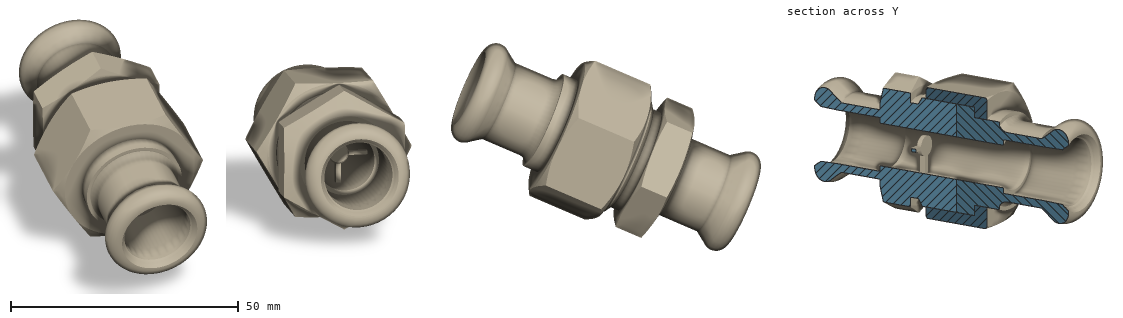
import cadquery as cq
import math


length = 66.0
tube_d = 18.2
bore_d = 13.0
socket_depth = 16.9

bead_d = 23.3
bead_round = 2.65
bead_seam = 4.4
bead_end = 7.05

mouth_d = 17.35
mouth_profile = [(0.7, 16.4), (1.25, 15.8), (1.65, 15.2)]
socket_d = 15.0
socket_taper_end = 6.1

hex_half_angle = math.radians(30)
envelope_margin = 0.65

collar_start = 16.9
collar_end = 25.0
collar_flats = 27.0
collar_face_d = 20.45
collar_chamfer_angle = 15.0

neck_d = 23.4
flange_d = 26.45
flange_cone_start = 26.9
flange_cone_end = 27.9

nut_start = 28.85
nut_end = 44.9
nut_flats = 30.0
nut_chamfer_angle = 30.0
nut_lip = 3.3
nut_seat = nut_end - nut_lip
joint = 36.95

shoulder_d = 22.0
shoulder_end = 48.1
shoulder_round_end = 50.0
shoulder_round_d = 20.2

disc_d = 4.6
disc_chamfer = 0.3
disc_thickness = 1.3
disc_start = 25.1
side_spoke_width = 0.8
lower_spoke_width = 1.2
spoke_embed = 0.3


def revolve(profile):
    """Turn a closed (x, radius) profile around the X axis."""
    return profile.close().revolve(360, (0, 0, 0), (1, 0, 0))


def cylinder(start, end, diameter):
    return cq.Workplane("YZ", origin=(start, 0, 0)).circle(diameter / 2).extrude(end - start)


def hexagon(start, end, flats, corners_on_z):
    """Hexagonal prism along X with its corners on the Z or the Y axis."""
    corner_d = flats / math.cos(hex_half_angle)
    prism = cq.Workplane("YZ", origin=(start, 0, 0)).polygon(6, corner_d).extrude(end - start)
    return prism.rotate((0, 0, 0), (1, 0, 0), 90) if corners_on_z else prism


def chamfer_envelope(start, end, start_face_d, end_face_d, flats, angle):
    """Turned shape whose conical ends trim the corners of a hexagon."""
    outer_r = flats / 2 / math.cos(hex_half_angle) + envelope_margin
    slope = math.tan(math.radians(angle))
    start_run = (outer_r - start_face_d / 2) * slope
    end_run = (outer_r - end_face_d / 2) * slope
    return revolve(
        cq.Workplane("XY")
        .moveTo(start, 0)
        .lineTo(start, start_face_d / 2)
        .lineTo(start + start_run, outer_r)
        .lineTo(end - end_run, outer_r)
        .lineTo(end, end_face_d / 2)
        .lineTo(end, 0)
    )


def press_bead():
    """Rounded bead at X = 0 with a conical run-out to the tube."""
    center_r = bead_d / 2 - bead_round
    seam_r = center_r + math.sqrt(bead_round**2 - (bead_seam - bead_round) ** 2)
    return revolve(
        cq.Workplane("XY")
        .lineTo(0, center_r)
        .threePointArc((bead_round, bead_d / 2), (bead_seam, seam_r))
        .lineTo(bead_end, tube_d / 2)
        .lineTo(bead_end, 0)
    )


def socket():
    """Stepped and slightly tapered pipe socket opening at X = 0."""
    profile = cq.Workplane("XY").lineTo(0, mouth_d / 2)
    for depth, diameter in mouth_profile:
        profile = profile.lineTo(depth, diameter / 2)
    return revolve(
        profile.lineTo(socket_taper_end, socket_d / 2)
        .lineTo(socket_depth, socket_d / 2)
        .lineTo(socket_depth, 0)
    )


def at_right_end(shape):
    """Mirror a feature of the left pipe end onto the right pipe end."""
    return shape.mirror("YZ").translate((length, 0, 0))


def make_spoked_disc():
    disc = cylinder(disc_start, disc_start + disc_thickness, disc_d).faces("<X").chamfer(disc_chamfer)
    reach = bore_d / 2 + spoke_embed
    side_spoke = cq.Workplane("XY").box(
        disc_thickness, reach, side_spoke_width, centered=(False, False, True)
    ).translate((disc_start, -reach, 0))
    lower_spoke = cq.Workplane("XY").box(
        disc_thickness, lower_spoke_width, reach, centered=(False, True, False)
    ).translate((disc_start, 0, -reach))
    spokes = side_spoke.union(lower_spoke).cut(cylinder(disc_start, disc_start + disc_thickness, disc_d))
    return disc.union(spokes)


def make_left_fitting():
    tube = cylinder(bead_end, collar_start, tube_d)
    collar = hexagon(collar_start, collar_end, collar_flats, corners_on_z=True).intersect(
        chamfer_envelope(
            collar_start, collar_end, collar_face_d, collar_flats, collar_flats, collar_chamfer_angle
        )
    )
    neck_and_flange = revolve(
        cq.Workplane("XY")
        .moveTo(collar_end, 0)
        .lineTo(collar_end, neck_d / 2)
        .lineTo(flange_cone_start, neck_d / 2)
        .lineTo(flange_cone_end, flange_d / 2)
        .lineTo(joint, flange_d / 2)
        .lineTo(joint, 0)
    )
    body = press_bead().union(tube).union(collar).union(neck_and_flange)
    body = body.cut(socket()).cut(cylinder(0, joint, bore_d))
    return body.union(make_spoked_disc())


def make_right_fitting():
    head = cylinder(joint, nut_seat, flange_d)
    run = shoulder_round_end - shoulder_end
    rise = (shoulder_round_d - tube_d) / 2
    round_r = (run**2 + rise**2) / (2 * rise)
    stem = revolve(
        cq.Workplane("XY")
        .moveTo(nut_seat, 0)
        .lineTo(nut_seat, shoulder_d / 2)
        .lineTo(shoulder_end, shoulder_d / 2)
        .lineTo(shoulder_end, shoulder_round_d / 2)
        .radiusArc((shoulder_round_end, tube_d / 2), -round_r)
        .lineTo(length - bead_end, tube_d / 2)
        .lineTo(length - bead_end, 0)
    )
    body = head.union(stem).union(at_right_end(press_bead()))
    return body.cut(at_right_end(socket())).cut(cylinder(joint, length, bore_d))


def make_union_nut():
    body = hexagon(nut_start, nut_end, nut_flats, corners_on_z=False).intersect(
        chamfer_envelope(nut_start, nut_end, nut_flats, nut_flats, nut_flats, nut_chamfer_angle)
    )
    return body.cut(cylinder(nut_start, nut_seat, flange_d)).cut(cylinder(nut_seat, nut_end, shoulder_d))


left_fitting = make_left_fitting()
right_fitting = make_right_fitting()
union_nut = make_union_nut()

result = cq.Compound.makeCompound([left_fitting.val(), right_fitting.val(), union_nut.val()])